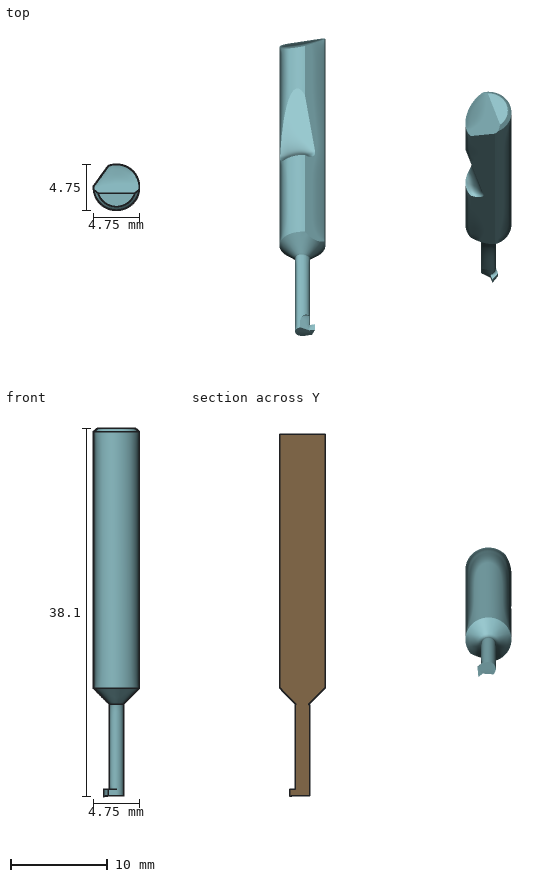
import cadquery as cq
import math

length = 38.1
shank_diameter = 4.75
shank_radius = shank_diameter / 2
end_chamfer = 0.4

neck_radius = 0.75
relief_distance = 0.7
cone_small_radius = 0.7
neck_top = 9.52
neck_bottom = 0.08
cone_top = neck_top + shank_radius - cone_small_radius

flat_azimuth = 144.0
flat_distance = 2.0

bevel_edge_y = -0.6
notch_top = 29.8
notch_floor = 21.15
notch_angle = 9.5
notch_radius = 1.0

tip_reach = 1.35
rake_y = 0.05
hook_height = 0.75
hook_heel_x = -0.85
clearance_azimuth = 132.0
clearance_distance = 0.55
clearance_top = 1.9
clearance_radius = 0.95


def revolved_blank():
    """Shank, cone and neck as one turned profile."""
    profile = [
        (0, neck_bottom),
        (neck_radius, neck_bottom),
        (neck_radius, neck_top),
        (cone_small_radius, neck_top),
        (shank_radius, cone_top),
        (shank_radius, length - end_chamfer),
        (shank_radius - end_chamfer, length),
        (0, length),
    ]
    return cq.Workplane("XZ").polyline(profile).close().revolve(360, (0, 0), (0, 1))


def locating_flat():
    """Block that cuts the flat along the shank and into the cone."""
    block = cq.Workplane("XY").box(
        shank_diameter, 2 * shank_diameter, length - neck_top, centered=(False, True, False)
    )
    return block.translate((flat_distance, 0, neck_top)).rotate((0, 0, 0), (0, 0, 1), flat_azimuth)


def across_x(outline):
    """Extrude a closed YZ outline across the full width of the shank."""
    return outline.close().extrude(shank_radius, both=True)


def top_bevel():
    drop = shank_radius - bevel_edge_y
    outline = cq.Workplane("YZ").polyline(
        [(bevel_edge_y, length), (shank_radius, length - drop), (shank_radius, length)]
    )
    return across_x(outline)


def clamping_notch():
    """Sloping seat that blends into a floor square to the axis."""
    depth = (notch_top - notch_floor) * math.tan(math.radians(notch_angle))
    outline = cq.Workplane("YZ").polyline(
        [
            (shank_radius, notch_top),
            (shank_radius - depth, notch_floor),
            (shank_radius, notch_floor),
        ]
    )
    return across_x(outline).edges("<Y").fillet(notch_radius)


def neck_relief():
    """Sliver that leaves the -X, +Y quarter of the neck with a flatter arc."""
    diagonal = math.sqrt(0.5)
    start = (-math.sqrt(neck_radius**2 - rake_y**2), rake_y)
    middle = (-relief_distance * diagonal, relief_distance * diagonal)
    end = (0, neck_radius)
    corner = (-2 * neck_radius, 2 * neck_radius)
    return (
        cq.Workplane("XY")
        .moveTo(*start)
        .threePointArc(middle, end)
        .lineTo(0, corner[1])
        .lineTo(*corner)
        .lineTo(corner[0], rake_y)
        .close()
        .extrude(neck_top)
    )


def chip_clearance():
    """Flat above and beside the hook, with its upper +Y corner rounded."""
    half_chord = math.sqrt(neck_radius**2 - clearance_distance**2)
    cutter = (
        cq.Workplane("XY")
        .box(neck_radius, 2 * half_chord, clearance_top, centered=(False, True, False))
        .edges("|X and >Z and <Y")
        .fillet(clearance_radius)
    )
    return cutter.translate((clearance_distance, 0, 0)).rotate((0, 0, 0), (0, 0, 1), clearance_azimuth)


def hook():
    """Cutting edge at -X, with its underside rising from the tip to the heel."""
    plan = [
        (-tip_reach, rake_y),
        (hook_heel_x, -neck_radius),
        (0, -neck_radius),
        (0, rake_y),
    ]
    body = cq.Workplane("XY").polyline(plan).close().extrude(hook_height)
    relief = (
        cq.Workplane("XZ")
        .polyline([(-tip_reach, 0), (hook_heel_x, neck_bottom), (0, neck_bottom), (0, 0)])
        .close()
        .extrude(neck_radius + rake_y, both=True)
    )
    return body.cut(relief)


result = (
    revolved_blank()
    .cut(locating_flat())
    .cut(top_bevel())
    .cut(clamping_notch())
    .cut(neck_relief())
    .cut(chip_clearance())
    .union(hook())
)